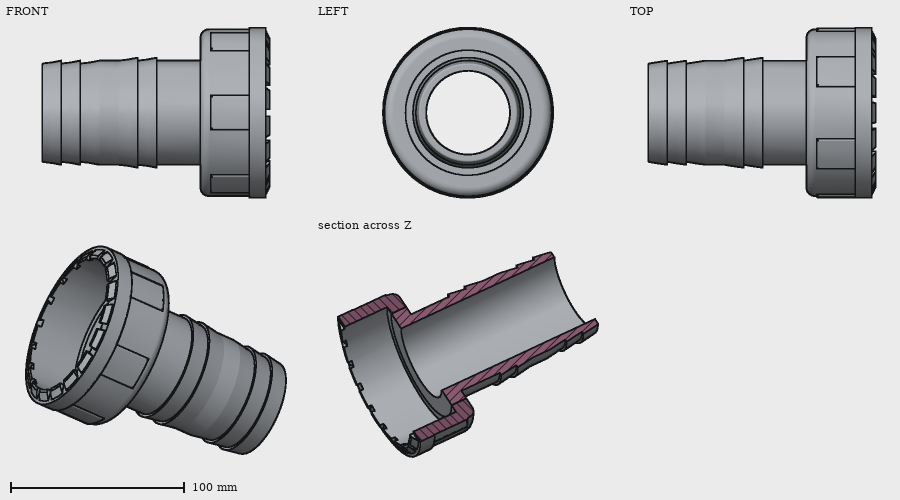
import cadquery as cq

bore_radius = 48.0 / 2
tube_radius = 60.0 / 2
barb_pitch = 11.0
small_barb_count = 3
large_barb_count = 2
barb_rise = 1.7
tip_round = 1.0
collar_radius = 72 / 2

nut_start = 90.9
nut_end = 130.8
nut_radius = 96.0 / 2
nut_round = 5.0
nut_wall = 2 * nut_round
nut_bore_radius = 81.5 / 2

rim_start = 119
rim_end = 128.6
rim_radius = 98.0 / 2

tooth_count = 18
tooth_root_radius = 47.0
tooth_tip_radius = 42.5
tooth_gap = 3.9

pad_count = 6
pad_start = 96.7
pad_height = 0.8
pad_width = 19.9
pad_round = 1.3


def revolve_about_x(profile):
    """Turn a closed (X, radius) profile into a body of revolution about X."""
    return profile.close().revolve(360, (0, 0, 0), (1, 0, 0))


def cylinder_x(radius, start, end):
    """A solid cylinder along X."""
    return cq.Workplane("YZ", origin=(start, 0, 0)).circle(radius).extrude(end - start)


def barb(start, root_radius):
    """A cone that widens away from the tip of the tail."""
    profile = (
        cq.Workplane("XY")
        .moveTo(start, 0)
        .lineTo(start, root_radius)
        .lineTo(start + barb_pitch, root_radius + barb_rise)
        .lineTo(start + barb_pitch, 0)
    )
    return revolve_about_x(profile)


def make_hose_tail():
    small_root_radius = tube_radius - barb_rise
    tail = barb(0, small_root_radius).faces("<X").edges().fillet(tip_round)
    for index in range(1, small_barb_count):
        tail = tail.union(barb(index * barb_pitch, small_root_radius))

    tube_start = small_barb_count * barb_pitch
    large_barb_start = tube_start + barb_pitch
    for index in range(large_barb_count):
        tail = tail.union(barb(large_barb_start + index * barb_pitch, tube_radius))

    collar_end = nut_start + nut_wall
    tail = tail.union(cylinder_x(tube_radius, tube_start, collar_end))
    tail = tail.union(cylinder_x(collar_radius, nut_start, collar_end))
    return tail.cut(cylinder_x(bore_radius, 0, collar_end))


def make_grip_pad():
    """A straight-sided pad on the -Y side whose top follows a drum around the nut."""
    pad_radius = nut_radius + pad_height
    block = cq.Workplane("XY").box(
        rim_start - pad_start, pad_radius, pad_width, centered=(False, False, True)
    ).translate((pad_start, -pad_radius, 0))
    pad = block.intersect(cylinder_x(pad_radius, pad_start, rim_start))
    top = pad.faces("<Y").edges("not >X")
    return top.fillet(pad_round)


def make_tooth_ring():
    """A conical ring on the end of the rim, split into teeth by parallel-sided radial slots."""
    ring = revolve_about_x(
        cq.Workplane("XY")
        .moveTo(rim_end, 0)
        .lineTo(rim_end, tooth_root_radius)
        .lineTo(nut_end, tooth_tip_radius)
        .lineTo(nut_end, 0)
    )
    slot = cq.Workplane("XY").box(
        nut_end - rim_end, rim_radius, tooth_gap, centered=(False, False, True)
    ).translate((rim_end, 0, 0))
    for index in range(tooth_count):
        ring = ring.cut(slot.rotate((0, 0, 0), (1, 0, 0), index * 360 / tooth_count))
    return ring


def make_nut():
    nut = cylinder_x(nut_radius, nut_start, rim_end).faces("<X").edges().fillet(nut_round)
    nut = nut.union(cylinder_x(rim_radius, rim_start, rim_end))

    grip_pad = make_grip_pad()
    for index in range(pad_count):
        nut = nut.union(grip_pad.rotate((0, 0, 0), (1, 0, 0), index * 360 / pad_count))
    nut = nut.union(make_tooth_ring())

    nut = nut.cut(cylinder_x(collar_radius, nut_start, nut_end))
    return nut.cut(cylinder_x(nut_bore_radius, nut_start + nut_wall, nut_end))


hose_tail = make_hose_tail()
nut = make_nut()
result = cq.Compound.makeCompound([hose_tail.val(), nut.val()])